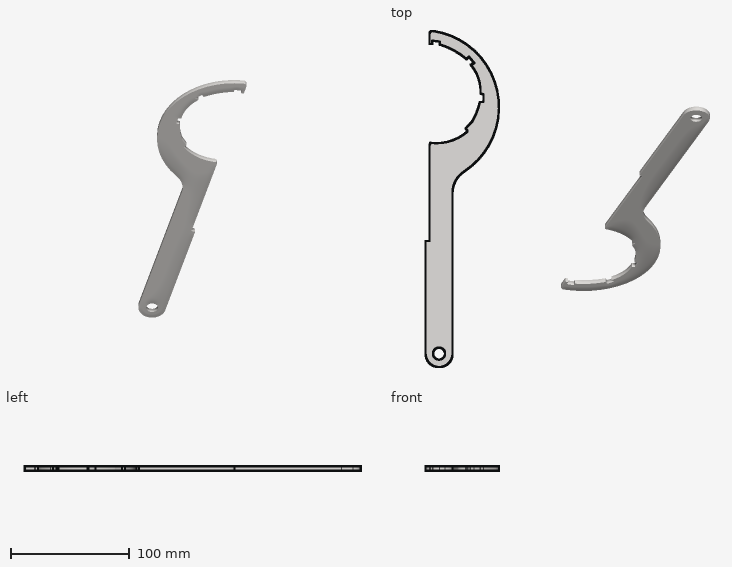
import cadquery as cq
import math

thickness = 4.0
overall_length = 282.8
overall_width = 62.0

handle_width = 23.0
handle_radius = handle_width / 2
hole_diameter = 10.0
step_y = 94.7
neck_left = -8.2

hook_radius = 64.8
hook_center_x = overall_width - handle_radius - hook_radius
blend_radius = 21.2

tip_radius = 2.8
tip_top = overall_length - handle_radius
tip_x = neck_left + tip_radius
tip_y = tip_top - tip_radius
tip_dx = tip_x - hook_center_x
tip_dy = math.sqrt((hook_radius - tip_radius) ** 2 - tip_dx**2)
hook_center_y = tip_y - tip_dy

tooth_end = (neck_left, 260.2)
tooth_inner_corner = (-5.7, 260.2)
tip_notch = [(-5.7, 263.0), (0.5, 262.2), (0.3, 260.0)]
upper_arc = [(13.0, 254.5), (23.2, 247.5)]
upper_notch = [(25.2, 249.5), (29.5, 244.5), (26.5, 243.0)]
middle_arc = [(32.5, 232.8), (34.8, 218.5)]
lower_notch = [(37.3, 217.8), (37.3, 211.8), (34.2, 211.5)]
lower_arc = [(31.5, 202.5), (27.7, 195.2)]
jaw_step = [(22.3, 189.5), (24.0, 187.0)]
heel_arc = [(11.0, 179.3), (-7.4, 177.3)]
heel_corner = (neck_left, 175.0)


def on_hook(angle):
    """Point on the outer circle of the hook at an angle in radians."""
    x = hook_center_x + hook_radius * math.cos(angle)
    y = hook_center_y + hook_radius * math.sin(angle)
    return (x, y)


def add_lines(path, points):
    """Extend the outline by straight edges through the points."""
    for point in points:
        path = path.lineTo(*point)
    return path


def make_outline():
    blend_dx = handle_radius + blend_radius - hook_center_x
    blend_dy = math.sqrt((hook_radius + blend_radius) ** 2 - blend_dx**2)
    blend_y = hook_center_y - blend_dy
    blend_end = on_hook(-math.atan2(blend_dy, blend_dx))

    tip_start = on_hook(math.atan2(tip_dy, tip_dx))

    path = cq.Workplane("XY").moveTo(-handle_radius, 0)
    path = path.threePointArc((0, -handle_radius), (handle_radius, 0))
    path = path.lineTo(handle_radius, blend_y)
    path = path.radiusArc(blend_end, blend_radius)
    path = path.threePointArc(on_hook(0), tip_start)
    path = path.threePointArc((tip_x, tip_top), (neck_left, tip_y))
    path = add_lines(path, [tooth_end, tooth_inner_corner, *tip_notch])
    path = path.threePointArc(*upper_arc)
    path = add_lines(path, upper_notch)
    path = path.threePointArc(*middle_arc)
    path = add_lines(path, lower_notch)
    path = path.threePointArc(*lower_arc)
    path = add_lines(path, jaw_step)
    path = path.threePointArc(*heel_arc)
    path = add_lines(path, [heel_corner, (neck_left, step_y), (-handle_radius, step_y)])
    return path.close()


plate = make_outline().extrude(thickness)
hanging_hole = cq.Workplane("XY").circle(hole_diameter / 2).extrude(thickness)
result = plate.cut(hanging_hole)